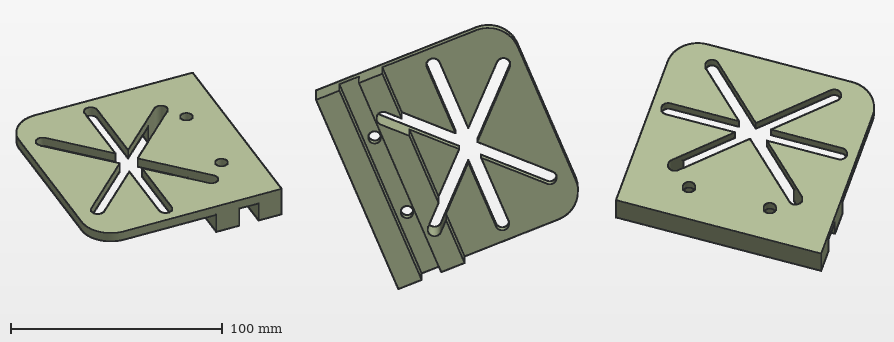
import cadquery as cq
import math

width = 101.6
depth = 97.0
plate_thickness = 5.0
corner_radius = 15.0

total_height = 15.0
rib_depth = 12.0
groove_width = 10.0

hole_diameter = 6.0
hole_spacing = 40.0
hole_y = -17.3

slot_width = 6.5
star_y = -56.6
straight_slot_length = 91.7
diagonal_angle = 45
diagonal_center_x = 0.6
diagonal_reach_left = 30.7
diagonal_reach_right = 29.5


def make_plate():
    plate = cq.Workplane("XY").box(width, depth, plate_thickness, centered=(True, False, False))
    plate = plate.translate((0, -depth, -plate_thickness))
    return plate.edges("|Z and <Y").fillet(corner_radius)


def make_rib(back_y):
    rib = cq.Workplane("XY").box(width, rib_depth, total_height, centered=(True, False, False))
    return rib.translate((0, back_y - rib_depth, -total_height))


def make_slot(center_x, length, angle):
    """Round-ended through cutter, lying along the given angle from X."""
    return (
        cq.Workplane("XY", origin=(center_x, star_y, -total_height))
        .slot2D(length, slot_width, angle)
        .extrude(total_height)
    )


def make_diagonal_slot(direction):
    """Diagonal cutter rising (+1) or falling (-1) towards +X."""
    length = (diagonal_reach_left + diagonal_reach_right) * math.sqrt(2) + slot_width
    shift = (diagonal_reach_right - diagonal_reach_left) / 2
    slot = make_slot(diagonal_center_x, length, direction * diagonal_angle)
    return slot.translate((shift, direction * shift, 0))


result = make_plate()

for rib_back_y in (0, -rib_depth - groove_width):
    result = result.union(make_rib(rib_back_y))

result = result.cut(make_slot(0, straight_slot_length, 0))
for slope in (1, -1):
    result = result.cut(make_diagonal_slot(slope))

holes = (
    cq.Workplane("XY", origin=(0, hole_y, -total_height))
    .pushPoints([(-hole_spacing / 2, 0), (hole_spacing / 2, 0)])
    .circle(hole_diameter / 2)
    .extrude(total_height)
)
result = result.cut(holes)